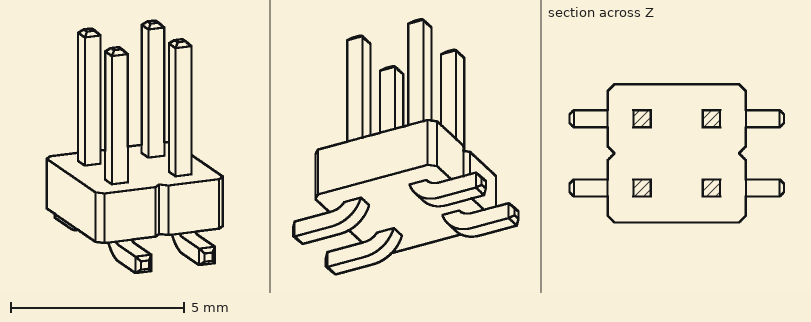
import cadquery as cq

pitch = 2.0
rows = 2
body_width = 2 * pitch
body_length = rows * pitch
body_height = 1.5
body_standoff = 0.7
body_chamfer = 0.2

pin_size = 0.5
pin_exposed_height = 4.0
pin_tip_chamfer = 0.125
foot_span = 6.2
bend_inner_radius = 0.5

bend_outer_radius = bend_inner_radius + pin_size
body_top = body_standoff + body_height
pin_top = body_top + pin_exposed_height
foot_end = foot_span / 2
pin_inner_x = pitch / 2 - pin_size / 2
pin_outer_x = pitch / 2 + pin_size / 2
bend_center_x = pin_inner_x + bend_outer_radius
bend_center_z = bend_outer_radius
row_positions = [(row - (rows - 1) / 2) * pitch for row in range(rows)]


def make_body():
    """Block with chamfered corners and a V-notch between rows on both X sides."""
    body = (
        cq.Workplane("XY", origin=(0, 0, body_standoff))
        .rect(body_width, body_length)
        .extrude(body_height)
        .edges("|Z")
        .chamfer(body_chamfer)
    )
    notch_side = body_chamfer * 2 ** 0.5
    for side in (-1, 1):
        for gap in range(1, rows):
            notch_y = gap * pitch - body_length / 2
            notch = (
                cq.Workplane("XY", origin=(side * body_width / 2, notch_y, body_standoff))
                .transformed(rotate=(0, 0, 45))
                .rect(notch_side, notch_side)
                .extrude(body_height)
            )
            body = body.cut(notch)
    return body


def make_pin():
    """Pin on the +X side: straight post, 90 degree bend and outward foot."""
    return (
        cq.Workplane("XZ")
        .moveTo(pin_inner_x, pin_top)
        .lineTo(pin_inner_x, bend_center_z)
        .radiusArc((bend_center_x, 0), -bend_outer_radius)
        .lineTo(foot_end, 0)
        .lineTo(foot_end, pin_size)
        .lineTo(bend_center_x, pin_size)
        .radiusArc((pin_outer_x, bend_center_z), bend_inner_radius)
        .lineTo(pin_outer_x, pin_top)
        .close()
        .extrude(pin_size / 2, both=True)
        .faces(">Z or >X")
        .chamfer(pin_tip_chamfer)
    )


right_pin = make_pin()
left_pin = right_pin.mirror("YZ")

result = make_body()
for row_y in row_positions:
    for pin in (left_pin, right_pin):
        result = result.union(pin.translate((0, row_y, 0)))